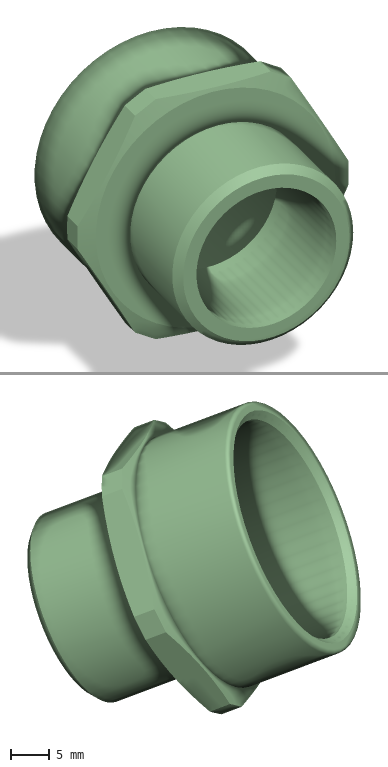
import cadquery as cq
import math

length = 33.5
collar_start = 14.0
collar_end = 18.5
spigot_start = 20.02
socket_depth = 16.0

socket_outer_diameter = 34.98
socket_bore_diameter = 30.4
passage_diameter = 20.4
spigot_diameter = 26.45
neck_diameter = 24.38

across_flats = 36.0
corner_flat_distance = 39.57
collar_bevel_angle = 17.0

rim_fillet = 0.5
mouth_chamfer = 0.95
spigot_chamfer = 1.05


def cylinder(diameter, start, end):
    """Solid cylinder on the X axis between two positions."""
    return cq.Workplane("YZ").workplane(offset=start).circle(diameter / 2).extrude(end - start)


def corner_distance(flat_distance):
    """Corner-to-corner size of a regular hexagon with the given size across its flats."""
    return flat_distance / math.cos(math.pi / 6)


def hexagon_prism(flat_distance, start_angle):
    """Hexagonal prism as long as the collar, with its first corner at start_angle from Y."""
    return (
        cq.Workplane("YZ", origin=(collar_start, 0, 0))
        .transformed(rotate=(0, 0, start_angle))
        .polygon(6, corner_distance(flat_distance))
        .extrude(collar_end - collar_start)
    )


def bevel_envelope():
    """Round blank whose two conical faces bevel the ends of the collar."""
    face_radius = socket_outer_diameter / 2
    blank_radius = corner_distance(across_flats) / 2
    bevel_depth = (blank_radius - face_radius) * math.tan(math.radians(collar_bevel_angle))
    return (
        cq.Workplane("XY")
        .moveTo(collar_start, 0)
        .lineTo(collar_start, face_radius)
        .lineTo(collar_start + bevel_depth, blank_radius)
        .lineTo(collar_end - bevel_depth, blank_radius)
        .lineTo(collar_end, face_radius)
        .lineTo(collar_end, 0)
        .close()
        .revolve(360, (0, 0, 0), (1, 0, 0))
    )


def hex_collar():
    """Hexagon with flats on +Z and -Z, flat-cut corners and bevelled ends."""
    main_hexagon = hexagon_prism(across_flats, 0)
    corner_cut = hexagon_prism(corner_flat_distance, 30)
    return main_hexagon.intersect(corner_cut).intersect(bevel_envelope())


def socket_bore():
    """Blind bore of the socket, widened by a chamfer at its mouth."""
    bore_radius = socket_bore_diameter / 2
    return (
        cq.Workplane("XY")
        .lineTo(0, bore_radius + mouth_chamfer)
        .lineTo(mouth_chamfer, bore_radius)
        .lineTo(socket_depth, bore_radius)
        .lineTo(socket_depth, 0)
        .close()
        .revolve(360, (0, 0, 0), (1, 0, 0))
    )


socket = cylinder(socket_outer_diameter, 0, collar_end).faces("<X").edges().fillet(rim_fillet)
neck = cylinder(neck_diameter, collar_end, spigot_start)
spigot = cylinder(spigot_diameter, spigot_start, length).faces(">X").edges().chamfer(spigot_chamfer)
passage = cylinder(passage_diameter, 0, length)

result = socket.union(hex_collar()).union(neck).union(spigot).cut(socket_bore()).cut(passage)